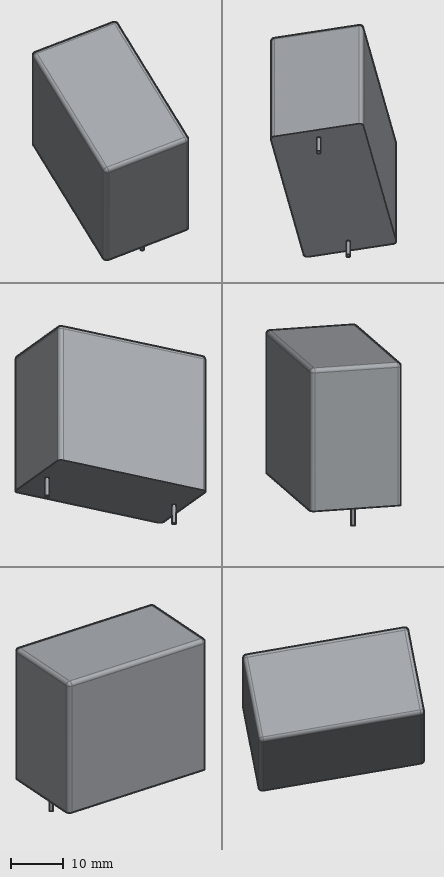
import cadquery as cq

case_length = 32.0
case_width = 18.0
case_height = 28.0
edge_radius = 0.8

pin_diameter = 0.8
pin_length = 3.8
pin_pitch = 27.5


def make_case():
    """Case standing on Z = 0, with a flat, sharp-edged underside."""
    return (
        cq.Workplane("XY")
        .box(case_length, case_width, case_height, centered=(True, True, False))
        .edges("|Z or >Z")
        .fillet(edge_radius)
    )


def make_pin(x):
    """Pin hanging from the underside of the case at the given X."""
    return (
        cq.Workplane("XY")
        .center(x, 0)
        .circle(pin_diameter / 2)
        .extrude(-pin_length)
    )


case = make_case()
pins = [make_pin(side * pin_pitch / 2) for side in (-1, 1)]

result = cq.Compound.makeCompound([case.val(), *[pin.val() for pin in pins]])